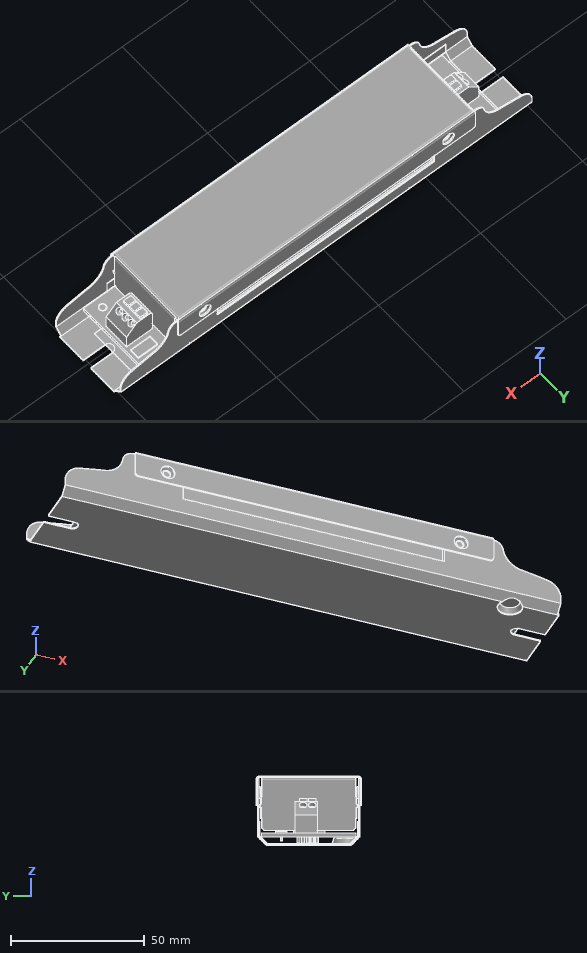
import cadquery as cq
import math

LENGTH = 202.0
WIDTH = 39.5
HEIGHT = 26.0
TOP_Z = HEIGHT / 2
BOTTOM_Z = -HEIGHT / 2

COVER_LENGTH = 145.6
COVER_SHEET = 0.6
COVER_BEND = 1.2
SKIRT_BOTTOM_Z = 2.0
SKIRT_CORNER = 1.5
END_WALL_GAP = 1.0
END_WALL_BOTTOM_Z = -7.5
END_WALL_CHAMFER = 1.0
EAR_RADIUS = 0.8
EAR_Z = 1.8

DIMPLE_X = 59.5
DIMPLE_Z = 6.9
DIMPLE_OUTER_DIA = 5.7
DIMPLE_INNER_DIA = 3.2
DIMPLE_DEPTH = 1.2
DIMPLE_SEAT_DIA = 2.8
DIMPLE_SEAT_DEPTH = 0.3

TRAY_HALF_WIDTH = WIDTH / 2 - COVER_SHEET
TRAY_SHEET = 0.5
TRAY_BEVEL = 3.2
HALF_BEND_ANGLE = math.radians(45 / 2)
WALL_TOP_Z = 12.1
WALL_END_SETBACK = 0.6
END_WALL_HALF_WIDTH = TRAY_HALF_WIDTH - TRAY_SHEET - END_WALL_GAP
END_SLOT_WIDTH = 4.5
END_SLOT_LENGTH = 13.0

WINDOW_LENGTH = 106.3
WINDOW_BOTTOM_Z = -3.2
WINDOW_TOP_Z = 4.8
PANEL_OFFSET = 1.0
PANEL_GAP = 0.5

LINER_LENGTH = 180.5
LINER_SHEET = 0.2
LINER_CLEARANCE = 0.1
LINER_TOP_Z = -4.0
LINER_NOTCH_X = 75.8
LINER_NOTCH_Y = -8.5

BOARD_LENGTH = 175.7
BOARD_WIDTH = 35.5
BOARD_TOP_Z = -8.3
BOARD_THICKNESS = 1.6
BOARD_BOTTOM_Z = BOARD_TOP_Z - BOARD_THICKNESS
BOARD_HOLE_DIA = 3.2
PAD_X = 81.6
PAD_Y = 10.3
PAD_LENGTH = 9.5
PAD_WIDTH = 4.5
PAD_HEIGHT = 0.6
PEG_DIA = 0.7
PEG_LENGTH = 1.5

BOSS_X = 82.0
BOSS_Y = -13.5
BOSS_BASE_DIA = 10.0
BOSS_TOP_DIA = 8.0
BOSS_WALL = 0.3
PIP_DIA = 2.8

WAY_PITCH = 3.5
WAY_OFFSET = -0.6
TERMINAL_MARGIN = 1.6
TERMINAL_DEPTH = 12.7
TERMINAL_FRONT_Z = -1.6
TERMINAL_TOP_Z = 3.5
TERMINAL_BACK_RADIUS = 1.8
ENTRY_DIA = 2.8
ENTRY_INNER_DIA = 1.6
ENTRY_DEPTH = 1.6
ENTRY_ALONG_SLOPE = 0.75
BUTTON_LENGTH = 3.6
BUTTON_WIDTH = 2.8
BUTTON_HEIGHT = 1.2
BUTTON_FROM_FRONT = 8.9
PIN_WIDTH = 1.2
PIN_FROM_FRONT = 6.0
PIN_BOTTOM_Z = -12.1
TWO_WAY_FRONT_X = -86.7
TWO_WAY_Y = 1.0
THREE_WAY_FRONT_X = 86.5
THREE_WAY_Y = -0.2


def block(x_range, y_range, z_range):
    """Axis-aligned box given by its limits on each axis."""
    sizes = [high - low for low, high in (x_range, y_range, z_range)]
    corner = (x_range[0], y_range[0], z_range[0])
    return cq.Workplane("XY").box(*sizes, centered=False).translate(corner)


def cone(base, direction, base_dia, end_dia, depth):
    """Truncated cone starting at a base point and running along a direction."""
    solid = cq.Solid.makeCone(base_dia / 2, end_dia / 2, depth, cq.Vector(*base), cq.Vector(*direction))
    return cq.Workplane(obj=solid)


def bevelled_trough(half_width, bottom_z, bevel, top_z, x_start, x_end):
    """Solid bar with 45 degree bevels along both lower edges."""
    right = [
        (half_width - bevel, bottom_z),
        (half_width, bottom_z + bevel),
        (half_width, top_z),
    ]
    left = [(-y, z) for y, z in reversed(right)]
    section = cq.Workplane("YZ", origin=(x_start, 0, 0)).polyline(right + left).close()
    return section.extrude(x_end - x_start)


def inner_bevel(bevel, thickness):
    """Bevel leg on the inside of a sheet of constant thickness bent along the bevel."""
    return bevel - thickness * (1 - math.tan(HALF_BEND_ANGLE))


def bent_channel(half_width, bottom_z, bevel, thickness, top_z, x_start, x_end):
    """Sheet-metal channel of constant thickness with bevelled lower corners."""
    outside = bevelled_trough(half_width, bottom_z, bevel, top_z, x_start, x_end)
    inside = bevelled_trough(
        half_width - thickness, bottom_z + thickness, inner_bevel(bevel, thickness), top_z, x_start, x_end
    )
    return outside.cut(inside)


def dimple_cones(surface_half_width, base_dia, end_dia, depth):
    """The four cones, two on each side, that run inward from the side surfaces."""
    cones = cq.Workplane("XY")
    for side in (-1, 1):
        for x in (-DIMPLE_X, DIMPLE_X):
            base = (x, side * surface_half_width, DIMPLE_Z)
            cones = cones.add(cone(base, (0, -side, 0), base_dia, end_dia, depth))
    return cones.combine()


def cover_shell():
    half_length = COVER_LENGTH / 2
    inner_length = half_length - COVER_SHEET
    outside = block(
        (-half_length, half_length), (-WIDTH / 2, WIDTH / 2), (END_WALL_BOTTOM_Z, TOP_Z)
    ).faces(">Z").edges().fillet(COVER_BEND)
    inside = block(
        (-inner_length, inner_length),
        (-TRAY_HALF_WIDTH, TRAY_HALF_WIDTH),
        (END_WALL_BOTTOM_Z, TOP_Z - COVER_SHEET),
    )
    return outside.cut(inside)


def end_wall_outline():
    """Bar along X with the outline of the end walls, including an ear on each side."""
    bar = block(
        (-LENGTH, LENGTH),
        (-END_WALL_HALF_WIDTH, END_WALL_HALF_WIDTH),
        (END_WALL_BOTTOM_Z, TOP_Z),
    ).edges("|X and <Z").chamfer(END_WALL_CHAMFER)
    ears = (
        cq.Workplane("YZ", origin=(-LENGTH, 0, 0))
        .pushPoints([(-END_WALL_HALF_WIDTH, EAR_Z), (END_WALL_HALF_WIDTH, EAR_Z)])
        .circle(EAR_RADIUS)
        .extrude(2 * LENGTH)
    )
    return bar.union(ears)


def make_cover():
    half_length = COVER_LENGTH / 2
    shell = cover_shell()
    beside_end_walls = block(
        (-half_length, half_length),
        (-TRAY_HALF_WIDTH, TRAY_HALF_WIDTH),
        (END_WALL_BOTTOM_Z, TOP_Z - COVER_SHEET),
    ).cut(end_wall_outline())
    skirt_outline = block(
        (-half_length, half_length), (-WIDTH, WIDTH), (SKIRT_BOTTOM_Z, TOP_Z)
    ).edges("|Y and <Z").fillet(SKIRT_CORNER)
    between_skirts = block(
        (-half_length, half_length), (-TRAY_HALF_WIDTH, TRAY_HALF_WIDTH), (END_WALL_BOTTOM_Z, TOP_Z)
    )
    folded = shell.cut(beside_end_walls).intersect(skirt_outline.union(between_skirts))

    cups = dimple_cones(
        TRAY_HALF_WIDTH, DIMPLE_OUTER_DIA, DIMPLE_INNER_DIA + COVER_SHEET, DIMPLE_DEPTH
    )
    recesses = dimple_cones(WIDTH / 2, DIMPLE_OUTER_DIA, DIMPLE_INNER_DIA, DIMPLE_DEPTH)
    folded = folded.union(cups).cut(recesses)
    for side in (-1, 1):
        floor_y = side * (WIDTH / 2 - DIMPLE_DEPTH)
        seats = (
            cq.Workplane("XZ", origin=(0, floor_y, 0))
            .pushPoints([(-DIMPLE_X, DIMPLE_Z), (DIMPLE_X, DIMPLE_Z)])
            .circle(DIMPLE_SEAT_DIA / 2)
            .extrude(side * DIMPLE_SEAT_DEPTH)
        )
        folded = folded.cut(seats)
    return folded


def wall_outline():
    """Bar across Y with the stepped, rounded outline of the tray walls."""
    left_end = -LENGTH / 2
    right_end = LENGTH / 2 - WALL_END_SETBACK
    foot = (0.0, -6.7)
    foot_middle = (1.8, -2.6)
    ramp_start = (6.0, -0.5)
    ramp_end = (15.2, 1.2)
    hollow_middle = (21.2, 4.0)
    step = (23.5, 8.9)
    crown_middle = (24.6, 11.0)
    crown = (27.9, WALL_TOP_Z)

    def left(point):
        return (left_end + point[0], point[1])

    def right(point):
        return (right_end - point[0], point[1])

    return (
        cq.Workplane("XZ", origin=(0, WIDTH / 2, 0))
        .moveTo(left_end, BOTTOM_Z)
        .lineTo(*left(foot))
        .threePointArc(left(foot_middle), left(ramp_start))
        .lineTo(*left(ramp_end))
        .threePointArc(left(hollow_middle), left(step))
        .threePointArc(left(crown_middle), left(crown))
        .lineTo(*right(crown))
        .threePointArc(right(crown_middle), right(step))
        .threePointArc(right(hollow_middle), right(ramp_end))
        .lineTo(*right(ramp_start))
        .threePointArc(right(foot_middle), right(foot))
        .lineTo(right_end, BOTTOM_Z)
        .close()
        .extrude(WIDTH)
    )


def tray_sheet():
    channel = bent_channel(
        TRAY_HALF_WIDTH, BOTTOM_Z, TRAY_BEVEL, TRAY_SHEET, WALL_TOP_Z, -LENGTH / 2, LENGTH / 2
    )
    floor_half_width = TRAY_HALF_WIDTH - TRAY_BEVEL
    floor = block(
        (-LENGTH / 2, LENGTH / 2),
        (-floor_half_width, floor_half_width),
        (BOTTOM_Z, BOTTOM_Z + TRAY_SHEET),
    )
    return channel.intersect(wall_outline()).union(floor)


def end_slots():
    """Mounting slots with round inner ends, open at both ends of the floor."""
    slot_reach = 2 * END_SLOT_LENGTH
    return (
        cq.Workplane("XY", origin=(0, 0, BOTTOM_Z))
        .pushPoints([(-LENGTH / 2, 0), (LENGTH / 2, 0)])
        .slot2D(slot_reach, END_SLOT_WIDTH)
        .extrude(TRAY_SHEET)
    )


def add_boss(tray):
    """Hollow earthing boss, trimmed to the tray's outside, with a pip standing in the board hole."""
    height = BOARD_BOTTOM_Z - BOTTOM_Z
    base = (BOSS_X, BOSS_Y, BOTTOM_Z)
    up = (0, 0, 1)
    envelope = bevelled_trough(
        TRAY_HALF_WIDTH, BOTTOM_Z, TRAY_BEVEL, WALL_TOP_Z, -LENGTH / 2, LENGTH / 2
    )
    outside = cone(base, up, BOSS_BASE_DIA, BOSS_TOP_DIA, height).intersect(envelope)
    hollow = cone(
        base, up, BOSS_BASE_DIA - 2 * BOSS_WALL, BOSS_TOP_DIA - 2 * BOSS_WALL, height - TRAY_SHEET
    )
    pip = cq.Workplane("XY", origin=(BOSS_X, BOSS_Y, BOARD_BOTTOM_Z)).circle(PIP_DIA / 2)
    return tray.union(outside).cut(hollow).union(pip.extrude(BOARD_THICKNESS))


def window_panel(side):
    """Panel parallel to the wall, joined to it by a bridge along the window's top edge."""
    half_length = WINDOW_LENGTH / 2 - PANEL_GAP
    wall_inner = TRAY_HALF_WIDTH - TRAY_SHEET
    panel_outer = TRAY_HALF_WIDTH - PANEL_OFFSET
    panel_inner = panel_outer - TRAY_SHEET
    plate = block(
        (-half_length, half_length),
        (panel_inner, panel_outer),
        (WINDOW_BOTTOM_Z + PANEL_GAP, WINDOW_TOP_Z + TRAY_SHEET),
    )
    bridge = block(
        (-half_length, half_length),
        (panel_inner, wall_inner),
        (WINDOW_TOP_Z, WINDOW_TOP_Z + TRAY_SHEET),
    )
    panel = plate.union(bridge)
    return panel if side > 0 else panel.mirror("XZ")


def make_tray():
    tray = add_boss(tray_sheet().cut(end_slots()))
    windows = block(
        (-WINDOW_LENGTH / 2, WINDOW_LENGTH / 2), (-WIDTH, WIDTH), (WINDOW_BOTTOM_Z, WINDOW_TOP_Z)
    )
    dimple_holes = (
        cq.Workplane("XZ", origin=(0, WIDTH, 0))
        .pushPoints([(-DIMPLE_X, DIMPLE_Z), (DIMPLE_X, DIMPLE_Z)])
        .circle(DIMPLE_OUTER_DIA / 2)
        .extrude(2 * WIDTH)
    )
    tray = tray.cut(windows).cut(dimple_holes)
    for side in (-1, 1):
        tray = tray.union(window_panel(side))
    return tray


def make_liner():
    half_length = LINER_LENGTH / 2
    offset = TRAY_SHEET + LINER_CLEARANCE
    liner = bent_channel(
        TRAY_HALF_WIDTH - offset,
        BOTTOM_Z + offset,
        inner_bevel(TRAY_BEVEL, offset),
        LINER_SHEET,
        LINER_TOP_Z,
        -half_length,
        half_length,
    )
    boss_notch = block((LINER_NOTCH_X, half_length), (-WIDTH, LINER_NOTCH_Y), (BOTTOM_Z, TOP_Z))
    return liner.cut(boss_notch)


def way_positions(ways):
    return [WAY_OFFSET + WAY_PITCH * (index - (ways - 1) / 2) for index in range(ways)]


def terminal_pins(ways):
    pins = cq.Workplane("XY", origin=(0, 0, PIN_BOTTOM_Z))
    pins = pins.pushPoints([(PIN_FROM_FRONT, y) for y in way_positions(ways)])
    return pins.rect(PIN_WIDTH, PIN_WIDTH).extrude(BOARD_TOP_Z - PIN_BOTTOM_Z)


def placed(shape, front_x, centre_y, angle):
    """Turn a shape made with its front at X = 0, facing -X, and move it into place."""
    return shape.rotate((0, 0, 0), (0, 0, 1), angle).translate((front_x, centre_y, 0))


def make_terminal(ways):
    """Terminal block with its front at X = 0, a sloped entry face and a row of push buttons."""
    width = ways * WAY_PITCH + TERMINAL_MARGIN
    slope = TERMINAL_TOP_Z - TERMINAL_FRONT_Z
    body = (
        cq.Workplane("XZ", origin=(0, width / 2, 0))
        .moveTo(0, BOARD_TOP_Z)
        .lineTo(0, TERMINAL_FRONT_Z)
        .lineTo(slope, TERMINAL_TOP_Z)
        .lineTo(TERMINAL_DEPTH - TERMINAL_BACK_RADIUS, TERMINAL_TOP_Z)
        .radiusArc((TERMINAL_DEPTH, TERMINAL_TOP_Z - TERMINAL_BACK_RADIUS), TERMINAL_BACK_RADIUS)
        .lineTo(TERMINAL_DEPTH, BOARD_TOP_Z)
        .close()
        .extrude(width)
    )
    entry_shift = slope * ENTRY_ALONG_SLOPE
    for y in way_positions(ways):
        mouth = (entry_shift, y, TERMINAL_FRONT_Z + entry_shift)
        body = body.cut(cone(mouth, (1, 0, -1), ENTRY_DIA, ENTRY_INNER_DIA, ENTRY_DEPTH))
    buttons = (
        cq.Workplane("XY", origin=(0, 0, TERMINAL_TOP_Z))
        .pushPoints([(BUTTON_FROM_FRONT, y) for y in way_positions(ways)])
        .rect(BUTTON_LENGTH, BUTTON_WIDTH)
        .extrude(BUTTON_HEIGHT)
    )
    return body.union(buttons).union(terminal_pins(ways))


def make_board(pins):
    board = cq.Workplane("XY", origin=(0, 0, BOARD_BOTTOM_Z)).rect(BOARD_LENGTH, BOARD_WIDTH)
    board = board.extrude(BOARD_THICKNESS)
    pad = cq.Workplane("XY", origin=(PAD_X, PAD_Y, BOARD_TOP_Z)).rect(PAD_LENGTH, PAD_WIDTH)
    peg = cq.Workplane("XY", origin=(PAD_X, PAD_Y, BOARD_BOTTOM_Z)).circle(PEG_DIA / 2)
    pip_hole = cq.Workplane("XY", origin=(BOSS_X, BOSS_Y, BOARD_BOTTOM_Z)).circle(BOARD_HOLE_DIA / 2)
    board = board.union(pad.extrude(PAD_HEIGHT)).union(peg.extrude(-PEG_LENGTH))
    board = board.cut(pip_hole.extrude(BOARD_THICKNESS))
    for pin_row in pins:
        board = board.cut(pin_row)
    return board


TWO_WAY_PLACE = (TWO_WAY_FRONT_X, TWO_WAY_Y, 0)
THREE_WAY_PLACE = (THREE_WAY_FRONT_X, THREE_WAY_Y, 180)

cover = make_cover()
tray = make_tray()
liner = make_liner()
two_way_terminal = placed(make_terminal(2), *TWO_WAY_PLACE)
three_way_terminal = placed(make_terminal(3), *THREE_WAY_PLACE)
board = make_board([
    placed(terminal_pins(2), *TWO_WAY_PLACE),
    placed(terminal_pins(3), *THREE_WAY_PLACE),
])

result = cq.Compound.makeCompound([
    cover.solids().val(),
    tray.solids().val(),
    liner.solids().val(),
    board.solids().val(),
    two_way_terminal.solids().val(),
    three_way_terminal.solids().val(),
])